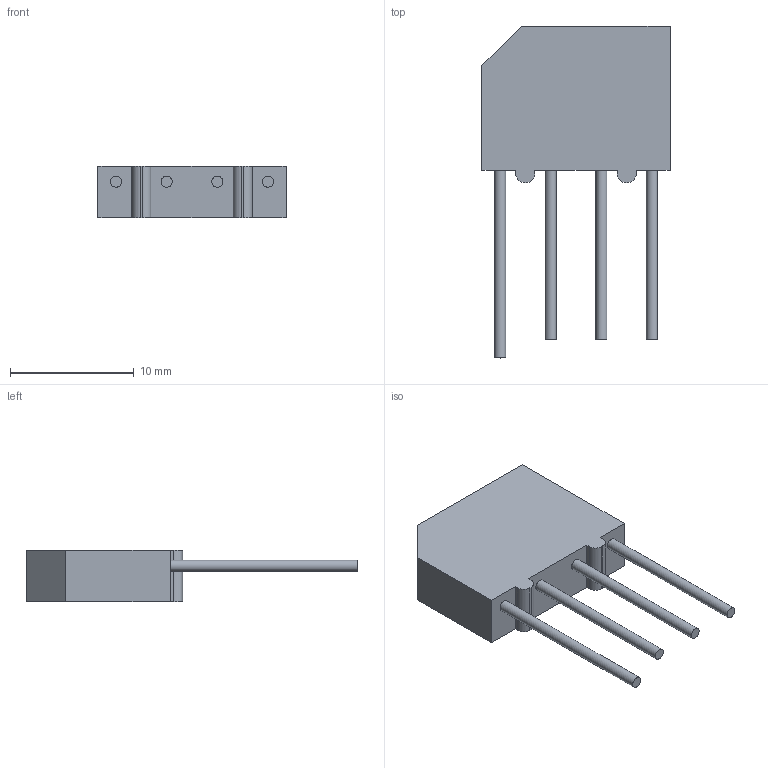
import cadquery as cq
import math

body_width = 15.24
body_length = 11.68
body_height = 4.2
corner_bevel = 3.2

lead_diameter = 0.9
lead_pitch = 4.1
lead_count = 4
lead_below_top = 1.27
long_lead_length = 15.2
short_lead_length = 13.7

rib_width = 1.54
rib_depth = 1.0
rib_corner_radius = 0.7

half_width = body_width / 2
lead_height = body_height - lead_below_top
first_lead_x = -lead_pitch * (lead_count - 1) / 2


def make_body():
    """Block with its rear corner at -X cut off."""
    return (
        cq.Workplane("XY")
        .moveTo(-half_width, 0)
        .lineTo(half_width, 0)
        .lineTo(half_width, body_length)
        .lineTo(-half_width + corner_bevel, body_length)
        .lineTo(-half_width, body_length - corner_bevel)
        .close()
        .extrude(body_height)
    )


def make_rib(center_x):
    """Rib with straight flanks, rounded corners and a narrow flat tip."""
    half_rib = rib_width / 2
    half_tip = half_rib - rib_corner_radius
    flank_end_y = rib_corner_radius - rib_depth
    arc_reach = rib_corner_radius * math.sqrt(0.5)
    arc_mid_x = half_tip + arc_reach
    arc_mid_y = flank_end_y - arc_reach
    return (
        cq.Workplane("XY")
        .center(center_x, 0)
        .moveTo(-half_rib, 0)
        .lineTo(-half_rib, flank_end_y)
        .threePointArc((-arc_mid_x, arc_mid_y), (-half_tip, -rib_depth))
        .lineTo(half_tip, -rib_depth)
        .threePointArc((arc_mid_x, arc_mid_y), (half_rib, flank_end_y))
        .lineTo(half_rib, 0)
        .close()
        .extrude(body_height)
    )


def make_lead(center_x, length):
    """Round lead running from the front face toward -Y."""
    return (
        cq.Workplane("XZ")
        .center(center_x, lead_height)
        .circle(lead_diameter / 2)
        .extrude(length)
    )


result = make_body()

for rib_x in (-lead_pitch, lead_pitch):
    result = result.union(make_rib(rib_x))

for index in range(lead_count):
    lead_x = first_lead_x + index * lead_pitch
    lead_length = long_lead_length if index == 0 else short_lead_length
    result = result.union(make_lead(lead_x, lead_length))